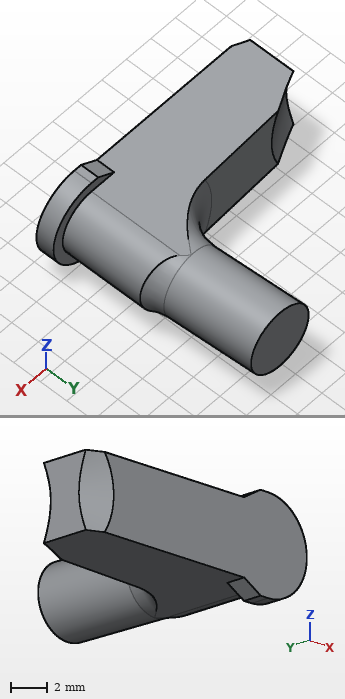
import cadquery as cq
import math

arm_length = 13.85
arm_width = 4.7
arm_radius = arm_width / 2
overall_height = 14.8

pin_tilt = 3.0
pin_radius = arm_radius
shoulder_height = 5.6
root_fillet = 2.8

flange_radius = 3.1
flange_thickness = 1.3
flange_flat = 0.55
flange_side_angle = 30.0

cone_half_angle = 60.0
cone_axis_offset = 2.5
cone_height = 5.0
end_face_bottom = 1.0
end_face_top = 3.2

margin = 5.0


def extrude_up(outline, height):
    """Extrude an XZ outline from y = 0 toward +Y."""
    return outline.extrude(-height)


def make_arm_envelope():
    """Full-height prism with a square free end and a half-round pivot end."""
    outline = (
        cq.Workplane("XZ")
        .moveTo(-arm_length, -arm_radius)
        .lineTo(0, -arm_radius)
        .threePointArc((arm_radius, 0), (0, arm_radius))
        .lineTo(-arm_length, arm_radius)
        .close()
    )
    return extrude_up(outline, overall_height)


def make_tilted_pin():
    """Pin flaring through a root fillet into a wide shoulder, turned about the leaning axis."""
    base_radius = arm_length + margin
    flare_radius = pin_radius + root_fillet
    fillet_top = shoulder_height + root_fillet
    arc_reach = root_fillet * (1 - math.sqrt(0.5))
    pin_top = overall_height + margin
    profile = (
        cq.Workplane("XY")
        .moveTo(0, -margin)
        .lineTo(base_radius, -margin)
        .lineTo(base_radius, shoulder_height)
        .lineTo(flare_radius, shoulder_height)
        .threePointArc(
            (pin_radius + arc_reach, shoulder_height + arc_reach),
            (pin_radius, fillet_top),
        )
        .lineTo(pin_radius, pin_top)
        .lineTo(0, pin_top)
        .close()
    )
    turned = profile.revolve(360, (0, 0, 0), (0, 1, 0))
    return turned.rotate((0, 0, 0), (0, 0, 1), pin_tilt)


def make_flange():
    """Round flange whose sides run flat, then slope down into the sides of the arm."""
    side_run = (flange_radius - arm_radius) / math.tan(math.radians(flange_side_angle))
    side_start = -flange_flat - side_run
    outline = (
        cq.Workplane("XZ")
        .moveTo(side_start, -arm_radius)
        .lineTo(-flange_flat, -flange_radius)
        .lineTo(0, -flange_radius)
        .threePointArc((flange_radius, 0), (0, flange_radius))
        .lineTo(-flange_flat, flange_radius)
        .lineTo(side_start, arm_radius)
        .close()
    )
    return extrude_up(outline, flange_thickness)


def make_scallop(face_edge, direction):
    """Cone beyond the free end, widening along Y, that meets the end face at face_edge."""
    spread = math.tan(math.radians(cone_half_angle))
    apex = face_edge - direction * cone_axis_offset / spread
    cone = cq.Solid.makeCone(
        0,
        cone_height * spread,
        cone_height,
        pnt=cq.Vector(-arm_length - cone_axis_offset, apex, 0),
        dir=cq.Vector(0, direction, 0),
    )
    return cq.Workplane(obj=cone)


lever = make_arm_envelope().intersect(make_tilted_pin())
lever = lever.union(make_flange())
lever = lever.cut(make_scallop(end_face_bottom, -1))
lever = lever.cut(make_scallop(end_face_top, 1))

result = lever